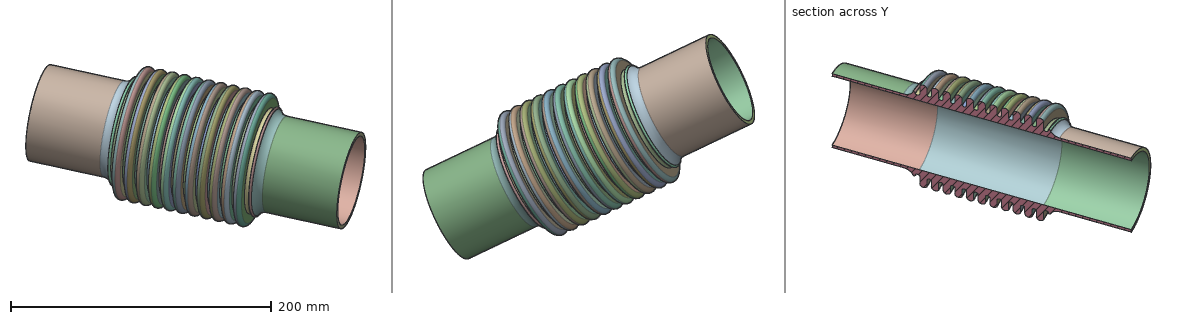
import cadquery as cq

LENGTH = 250.0
PIPE_RADIUS = 76.0 / 2
BORE_RADIUS = 70.0 / 2

FIN_COUNT = 11
FIN_PITCH = 9.8
FIN_WIDTH = 6.5
CROWN_RADIUS = 105.0 / 2
GROOVE_RIM_RADIUS = 43.2
GROOVE_SAG = 1.0

COLLAR_RIM_RADIUS = 41.8
COLLAR_WIDTH = 3.5

BEAD_WIDTH = 2.2
BEAD_RADIUS = 43.2
BEAD_TOE_RADIUS = 42.0
FLARE_LENGTH = 7.5

bellows_end = (FIN_PITCH * (FIN_COUNT - 1) + FIN_WIDTH) / 2
bead_start = bellows_end + COLLAR_WIDTH
bead_end = bead_start + BEAD_WIDTH
flare_end = bead_end + FLARE_LENGTH
pipe_end = LENGTH / 2


def revolve_about_x(outline):
    return outline.close().revolve(360, (0, 0, 0), (1, 0, 0))


def make_bellows():
    """Finned middle section, drawn from -X to +X."""
    crown_round = FIN_WIDTH / 2
    shoulder_radius = CROWN_RADIUS - crown_round
    groove_floor_radius = GROOVE_RIM_RADIUS - GROOVE_SAG

    outline = cq.Workplane("XY").moveTo(-bellows_end, BORE_RADIUS)
    for index in range(FIN_COUNT):
        center = (index - (FIN_COUNT - 1) / 2) * FIN_PITCH
        left = center - crown_round
        right = center + crown_round
        if index > 0:
            groove_floor = (center - FIN_PITCH / 2, groove_floor_radius)
            outline = outline.threePointArc(groove_floor, (left, GROOVE_RIM_RADIUS))
        outline = (
            outline.lineTo(left, shoulder_radius)
            .radiusArc((center, CROWN_RADIUS), crown_round)
            .radiusArc((right, shoulder_radius), crown_round)
        )
        if index < FIN_COUNT - 1:
            outline = outline.lineTo(right, GROOVE_RIM_RADIUS)
    return revolve_about_x(outline.lineTo(bellows_end, BORE_RADIUS))


def make_end():
    """Pipe, flare, weld bead and collar of the +X end."""
    bead_top = ((bead_start + bead_end) / 2, BEAD_RADIUS)
    collar_floor = ((bellows_end + bead_start) / 2, COLLAR_RIM_RADIUS - GROOVE_SAG)
    outline = (
        cq.Workplane("XY")
        .moveTo(bellows_end, BORE_RADIUS)
        .lineTo(pipe_end, BORE_RADIUS)
        .lineTo(pipe_end, PIPE_RADIUS)
        .lineTo(flare_end, PIPE_RADIUS)
        .tangentArcPoint((bead_end, BEAD_TOE_RADIUS), relative=False)
        .threePointArc(bead_top, (bead_start, COLLAR_RIM_RADIUS))
        .threePointArc(collar_floor, (bellows_end, COLLAR_RIM_RADIUS))
    )
    return revolve_about_x(outline)


right_end = make_end()
left_end = right_end.mirror("YZ")
result = make_bellows().union(right_end).union(left_end)